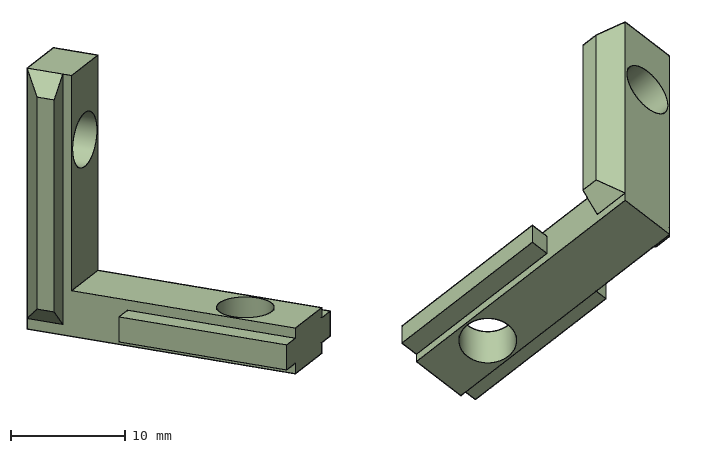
import cadquery as cq

length = 25.9
height = 24.5
bar_width = 5.5
bar_thickness = 4.3
overall_width = 9.1
hole_diameter = 5.05
foot_hole_x = 19.8
upright_hole_z = 17.53
wing_bottom = 1.0
upright_wing_depth = 3.45
foot_wing_start = 9.7
foot_wing_height = 2.35

wing_projection = (overall_width - bar_width) / 2
wing_length = height - wing_bottom


def make_angle_bar():
    """L-shaped bar, centred on Y, with its outer corner at the origin."""
    return (
        cq.Workplane("XZ")
        .polyline([
            (0, 0),
            (length, 0),
            (length, bar_thickness),
            (bar_thickness, bar_thickness),
            (bar_thickness, height),
            (0, height),
        ])
        .close()
        .extrude(bar_width / 2, both=True)
    )


def make_upright_wings():
    """Both side wings of the upright, bevelled at 45 degrees on the outer, top and bottom sides."""
    wings = cq.Workplane("XY").box(
        upright_wing_depth, overall_width, wing_length, centered=(False, True, False)
    )
    for side in (">Y", "<Y"):
        wings = wings.faces(side).edges("<X or |X").chamfer(wing_projection)
    return wings.translate((0, 0, wing_bottom))


def make_foot_wings():
    """Both plain side wings of the foot, running to its free end."""
    return (
        cq.Workplane("XY")
        .box(
            length - foot_wing_start, overall_width, foot_wing_height,
            centered=(False, True, False),
        )
        .translate((foot_wing_start, 0, wing_bottom))
    )


def make_holes():
    """Through-hole cutters: one along Z in the foot, one along X in the upright."""
    radius = hole_diameter / 2
    foot_hole = cq.Workplane("XY").center(foot_hole_x, 0).circle(radius).extrude(bar_thickness)
    upright_hole = cq.Workplane("YZ").center(0, upright_hole_z).circle(radius).extrude(bar_thickness)
    return foot_hole.union(upright_hole)


result = (
    make_angle_bar()
    .union(make_upright_wings())
    .union(make_foot_wings())
    .cut(make_holes())
)